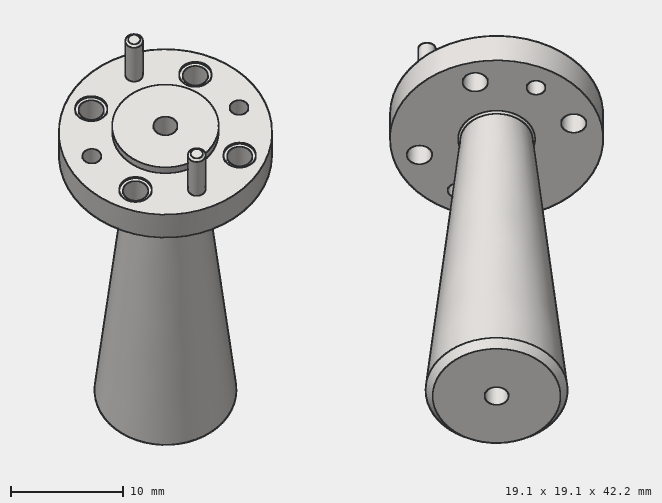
import cadquery as cq

FLANGE_DIAMETER = 19.05
FLANGE_THICKNESS = 3.25
BOSS_DIAMETER = 9.525
BOSS_HEIGHT = 0.84
BORE_DIAMETER = 2.15

HORN_LENGTH = 34.0
MOUTH_DIAMETER = 12.7
NECK_DIAMETER = 6.48
MOUTH_CHAMFER_WIDTH = 0.64
MOUTH_CHAMFER_HEIGHT = 0.76
NECK_CHAMFER = 0.2

OVERALL_HEIGHT = 42.24

PITCH_DIAMETER = 14.2875
SCREW_HOLE_DIAMETER = 2.26
COUNTERBORE_DIAMETER = 2.9
COUNTERBORE_DEPTH = 0.2
ALIGNMENT_HOLE_DIAMETER = 1.68
PIN_DIAMETER = 1.5875
PIN_CHAMFER_WIDTH = 0.25
PIN_CHAMFER_HEIGHT = 0.2

SCREW_ANGLES = (0, 90, 180, 270)
ALIGNMENT_HOLE_ANGLES = (45, 225)
PIN_ANGLES = (135, 315)

FLANGE_TOP = HORN_LENGTH + FLANGE_THICKNESS
BOSS_TOP = FLANGE_TOP + BOSS_HEIGHT


def at_pitch_circle(shape, angle):
    """Move a shape modelled on the Z axis out to the pitch circle at an angle in degrees."""
    return shape.translate((PITCH_DIAMETER / 2, 0, 0)).rotate((0, 0, 0), (0, 0, 1), angle)


def make_body():
    """Revolve the horn, flange and boss about Z as one solid."""
    mouth_radius = MOUTH_DIAMETER / 2
    neck_radius = NECK_DIAMETER / 2
    return (
        cq.Workplane("XZ")
        .lineTo(mouth_radius - MOUTH_CHAMFER_WIDTH, 0)
        .lineTo(mouth_radius, MOUTH_CHAMFER_HEIGHT)
        .lineTo(neck_radius, HORN_LENGTH - NECK_CHAMFER)
        .lineTo(neck_radius + NECK_CHAMFER, HORN_LENGTH)
        .lineTo(FLANGE_DIAMETER / 2, HORN_LENGTH)
        .lineTo(FLANGE_DIAMETER / 2, FLANGE_TOP)
        .lineTo(BOSS_DIAMETER / 2, FLANGE_TOP)
        .lineTo(BOSS_DIAMETER / 2, BOSS_TOP)
        .lineTo(0, BOSS_TOP)
        .close()
        .revolve(360, (0, 0, 0), (0, 1, 0))
    )


def make_screw_hole():
    """Through-flange screw hole cutter with a shallow counterbore in the mating face."""
    hole = (
        cq.Workplane("XY", origin=(0, 0, HORN_LENGTH))
        .circle(SCREW_HOLE_DIAMETER / 2)
        .extrude(FLANGE_THICKNESS)
    )
    counterbore = (
        cq.Workplane("XY", origin=(0, 0, FLANGE_TOP))
        .circle(COUNTERBORE_DIAMETER / 2)
        .extrude(-COUNTERBORE_DEPTH)
    )
    return hole.union(counterbore)


def make_alignment_hole():
    """Plain through-flange hole cutter that receives the pin of the mating flange."""
    return (
        cq.Workplane("XY", origin=(0, 0, HORN_LENGTH))
        .circle(ALIGNMENT_HOLE_DIAMETER / 2)
        .extrude(FLANGE_THICKNESS)
    )


def make_pin():
    """Alignment pin seated through the flange, with a chamfered tip."""
    return (
        cq.Workplane("XY", origin=(0, 0, HORN_LENGTH))
        .circle(PIN_DIAMETER / 2)
        .extrude(OVERALL_HEIGHT - HORN_LENGTH)
        .faces(">Z")
        .chamfer(PIN_CHAMFER_HEIGHT, PIN_CHAMFER_WIDTH)
    )


def make_bore():
    """Straight bore along the whole axis of the horn."""
    return cq.Workplane("XY").circle(BORE_DIAMETER / 2).extrude(BOSS_TOP)


result = make_body().cut(make_bore())
for screw_angle in SCREW_ANGLES:
    result = result.cut(at_pitch_circle(make_screw_hole(), screw_angle))
for hole_angle in ALIGNMENT_HOLE_ANGLES:
    result = result.cut(at_pitch_circle(make_alignment_hole(), hole_angle))
for pin_angle in PIN_ANGLES:
    result = result.union(at_pitch_circle(make_pin(), pin_angle))